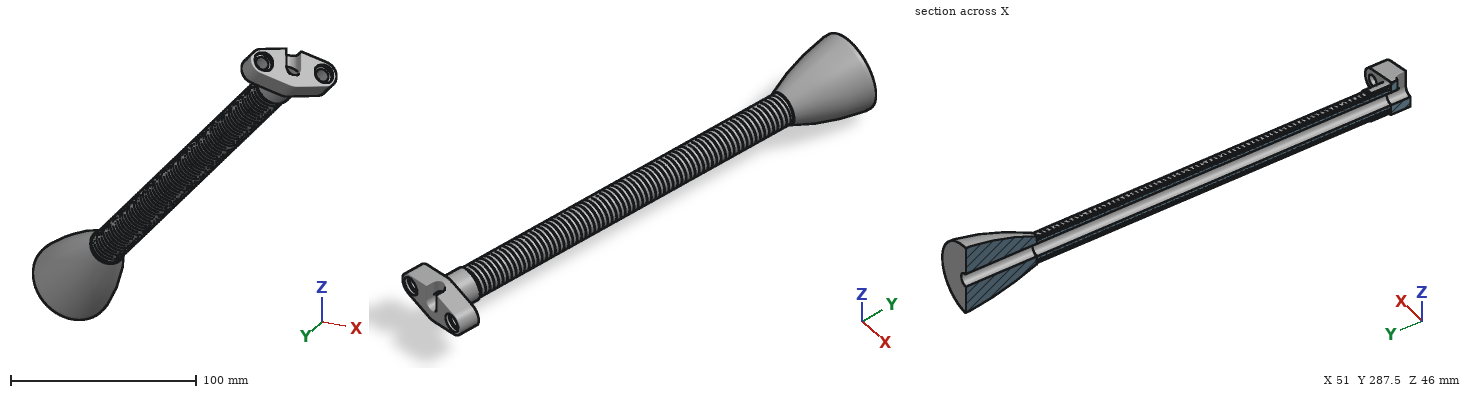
import cadquery as cq
import math

TOTAL_LENGTH = 287.5

BORE_RADIUS = 4.3

FLANGE_WIDTH = 51.0
FLANGE_THICKNESS = 12.7
HUB_RADIUS = 11.5
EAR_OFFSET = 17.8
EAR_RADIUS = FLANGE_WIDTH / 2 - EAR_OFFSET
SCREW_HOLE_RADIUS = 3.7
COUNTERBORE_RADIUS = 5.5
COUNTERBORE_DEPTH = 2.3
SLOT_DEPTH = 8.3
FRONT_EDGE_ROUND = 0.3

COLLAR_RADIUS = 10.0
COLLAR_LENGTH = 13.0
COLLAR_ROOT_ROUND = 0.5

BELL_LENGTH = 46.0
BELL_NECK_RADIUS = COLLAR_RADIUS
BELL_MIDDLE_RADIUS = 18.5
BELL_MOUTH_RADIUS = 23.0
BELL_RIM_LENGTH = 3.0
BELL_START = TOTAL_LENGTH - BELL_LENGTH

CONDUIT_START = FLANGE_THICKNESS
CONDUIT_LENGTH = BELL_START - CONDUIT_START
SHEATH_DIAMETER = 18.7
SHEATH_RADIUS = SHEATH_DIAMETER / 2
SHEATH_WALL = 0.5
COIL_WALL = 1.7
COIL_OUTER_RADIUS = SHEATH_RADIUS - SHEATH_WALL
COIL_INNER_RADIUS = COIL_OUTER_RADIUS - COIL_WALL
COIL_TURNS = 75.5
COIL_STRIP_WIDTH = 2.5


def plane_at(y):
    """Plane across the conduit axis, facing +Y, with its local x along +X."""
    return cq.Workplane(cq.Plane(origin=(0, y, 0), xDir=(1, 0, 0), normal=(0, 1, 0)))


def rod(start, length, radius):
    return plane_at(start).circle(radius).extrude(length)


def conduit_layer(outer_radius, inner_radius):
    """Plain tube over the full length of the conduit."""
    return plane_at(CONDUIT_START).circle(outer_radius).circle(inner_radius).extrude(CONDUIT_LENGTH)


def flange_plate():
    lean = math.asin((HUB_RADIUS - EAR_RADIUS) / EAR_OFFSET)
    hub_x = HUB_RADIUS * math.sin(lean)
    hub_z = HUB_RADIUS * math.cos(lean)
    ear_x = EAR_OFFSET + EAR_RADIUS * math.sin(lean)
    ear_z = EAR_RADIUS * math.cos(lean)
    tip_x = FLANGE_WIDTH / 2
    outline = (
        plane_at(0)
        .moveTo(-hub_x, hub_z)
        .threePointArc((0, HUB_RADIUS), (hub_x, hub_z))
        .lineTo(ear_x, ear_z)
        .threePointArc((tip_x, 0), (ear_x, -ear_z))
        .lineTo(hub_x, -hub_z)
        .threePointArc((0, -HUB_RADIUS), (-hub_x, -hub_z))
        .lineTo(-ear_x, -ear_z)
        .threePointArc((-tip_x, 0), (-ear_x, ear_z))
        .close()
    )
    return outline.extrude(FLANGE_THICKNESS)


def nipple_slot():
    """Slot from the bore up through the hub, open at the front and ending in a half round."""
    straight_depth = SLOT_DEPTH - BORE_RADIUS
    return (
        cq.Workplane("XY")
        .moveTo(-BORE_RADIUS, 0)
        .lineTo(-BORE_RADIUS, straight_depth)
        .threePointArc((0, SLOT_DEPTH), (BORE_RADIUS, straight_depth))
        .lineTo(BORE_RADIUS, 0)
        .close()
        .extrude(HUB_RADIUS)
    )


def round_front_edges(body):
    """Round the outline of the front face and the slot's mouth in the top of the hub."""
    clearance = FRONT_EDGE_ROUND / 2
    slot_mouth = cq.selectors.BoxSelector(
        (-BORE_RADIUS - clearance, clearance, HUB_RADIUS / 2),
        (BORE_RADIUS + clearance, SLOT_DEPTH + clearance, HUB_RADIUS + clearance),
    )
    edges = body.faces("<Y").edges().add(body.edges(slot_mouth))
    return edges.fillet(FRONT_EDGE_ROUND)


def make_flange():
    body = flange_plate().union(rod(FLANGE_THICKNESS, COLLAR_LENGTH, COLLAR_RADIUS))
    collar_root = cq.NearestToPointSelector((0, FLANGE_THICKNESS, 0))
    body = body.edges(collar_root).fillet(COLLAR_ROOT_ROUND)

    body = body.cut(rod(0, FLANGE_THICKNESS, BORE_RADIUS)).cut(nipple_slot())
    body = round_front_edges(body)

    for ear_x in (-EAR_OFFSET, EAR_OFFSET):
        ear = plane_at(0).center(ear_x, 0)
        body = body.cut(ear.circle(SCREW_HOLE_RADIUS).extrude(FLANGE_THICKNESS))
        body = body.cut(ear.circle(COUNTERBORE_RADIUS).extrude(COUNTERBORE_DEPTH))

    conduit_socket = rod(CONDUIT_START, COLLAR_LENGTH, SHEATH_RADIUS)
    return body.cut(conduit_socket).solids()


def make_coil():
    """Flat strip wound into a close helix, bounded by ruled faces between its four corner helices."""
    climb = CONDUIT_LENGTH - COIL_STRIP_WIDTH
    pitch = climb / COIL_TURNS

    def corner_helix(radius, rise):
        helix = cq.Wire.makeHelix(pitch, climb, radius)
        return helix.translate(cq.Vector(0, 0, rise)).Edges()[0]

    corners = [
        corner_helix(COIL_INNER_RADIUS, 0),
        corner_helix(COIL_OUTER_RADIUS, 0),
        corner_helix(COIL_OUTER_RADIUS, COIL_STRIP_WIDTH),
        corner_helix(COIL_INNER_RADIUS, COIL_STRIP_WIDTH),
    ]
    faces = [cq.Face.makeRuledSurface(corners[i - 1], corners[i]) for i in range(len(corners))]
    for end in (0, 1):
        end_points = [helix.positionAt(end) for helix in corners]
        faces.append(cq.Face.makeFromWires(cq.Wire.makePolygon(end_points, close=True)))
    strip = cq.Solid.makeSolid(cq.Shell.makeShell(faces))

    along_y = cq.Workplane(strip).rotate((0, 0, 0), (1, 0, 0), -90)
    return along_y.translate((0, CONDUIT_START, 0))


def make_bell():
    """Curved flare from the neck to a short straight rim, revolved about the conduit axis."""
    rim_start = TOTAL_LENGTH - BELL_RIM_LENGTH
    flare_middle = (BELL_START + rim_start) / 2
    return (
        cq.Workplane("YZ")
        .moveTo(BELL_START, BORE_RADIUS)
        .lineTo(BELL_START, BELL_NECK_RADIUS)
        .threePointArc((flare_middle, BELL_MIDDLE_RADIUS), (rim_start, BELL_MOUTH_RADIUS))
        .lineTo(TOTAL_LENGTH, BELL_MOUTH_RADIUS)
        .lineTo(TOTAL_LENGTH, BORE_RADIUS)
        .close()
        .revolve(360, (0, 0, 0), (1, 0, 0))
    )


flange = make_flange()
sheath = conduit_layer(SHEATH_RADIUS, COIL_OUTER_RADIUS)
coil = make_coil()
liner = conduit_layer(COIL_INNER_RADIUS, BORE_RADIUS)
bell = make_bell()

result = cq.Compound.makeCompound([flange.val(), sheath.val(), coil.val(), liner.val(), bell.val()])